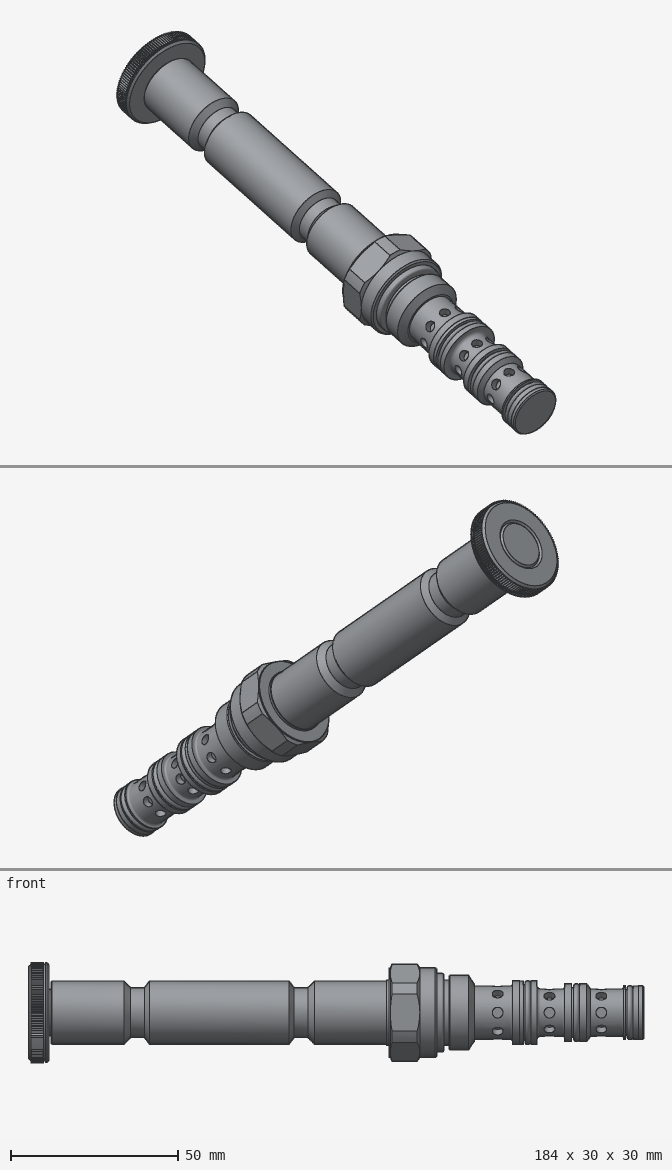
import cadquery as cq
import math


knob_radius = 15.0
knob_root_radius = 14.5
knob_length = 6.1
knob_chamfer = 0.7
knurl_end = 4.4
rim_start = 5.0
rim_chamfer = 0.7
tooth_count = 120
groove_outer_radius = 8.1
groove_inner_radius = 6.9
groove_depth = 0.6

neck_radius = 7.0
tube_start = 6.7
tube_radius = 9.5
tube_chamfer = 0.3
waist_radius = 7.5
waist_wide_cone = 2.0
waist_narrow_cone = 1.5
waist_floor = 4.1
first_waist_start = 28.5
second_waist_start = 77.9
waist_length = waist_wide_cone + waist_floor + waist_narrow_cone

collar_start = 107.1
collar_radius = 9.8
washer_face_start = 107.8
washer_face_radius = 13.4
hex_start = 108.2
hex_end = 117.0
hex_across_flats = 27.0
hex_corner_radius = 14.6
hex_front_chamfer = 0.5
hex_rear_chamfer = 0.8
flange_radius = hex_across_flats / 2
flange_end = 122.1
flange_chamfer = 0.5

shoulder_radius = 11.8
shoulder_end = 124.2
shoulder_round = 0.6
seal_neck_radius = 9.8
pilot_start = 125.8
pilot_radius = 11.2
pilot_chamfer = 0.3
pilot_cone_start = 131.6
pilot_cone_end = 133.3
pilot_cone_radius = 8.6

first_barrel_radius = 8.0
barrel_radius = 7.1
first_land_start = 144.7
first_land_end = 152.0
first_land_radius = 9.6
second_land_start = 160.3
second_land_cone_start = 166.9
second_land_cone_end = 168.1
second_land_radius = 8.7
end_land_start = 178.0
end_land_radius = 8.1
nose_end = 184.0
nose_chamfer = 0.4
front_root_round = 0.6
rear_root_round = 1.2

port_diameter = 3.2
port_depth = 2.5
port_count = 8
first_port_x = 140.3
port_pitch = 15.5
port_barrel_radii = [first_barrel_radius, barrel_radius, barrel_radius]

ring_section = 1.8
gland_depth = 1.2
first_gland = (148.0, 150.2)
second_gland = (162.4, 164.8)
end_gland = (178.5, 180.8)
first_backup = (146.9, first_gland[0])
end_backup = (end_gland[1], 182.5)
backup_recess = 0.1


def revolve_profile(points):
    """Turn a closed (x, radius) outline about the X axis."""
    return cq.Workplane("XY").polyline(points).close().revolve(360, (0, 0, 0), (1, 0, 0))


def cylinder(start, end, radius):
    return cq.Workplane("YZ").workplane(offset=start).circle(radius).extrude(end - start)


def tube_band(start, end, inner_radius, outer_radius):
    return cylinder(start, end, outer_radius).cut(cylinder(start, end, inner_radius))


def make_knurl():
    """Ring of straight V teeth standing on the knob body."""
    half_pitch = math.pi / tooth_count
    outline = []
    for i in range(2 * tooth_count):
        radius = knob_radius if i % 2 == 0 else knob_root_radius
        outline.append((radius * math.cos(i * half_pitch), radius * math.sin(i * half_pitch)))
    knurl = cq.Workplane("YZ").workplane(offset=knob_chamfer).polyline(outline).close()
    return knurl.extrude(knurl_end - knob_chamfer)


def make_knob():
    """Knurled disc with a bevelled face, a plain rear rim and a V groove in its face."""
    body = revolve_profile([
        (0, 0),
        (0, knob_root_radius - knob_chamfer),
        (knob_chamfer, knob_root_radius),
        (rim_start, knob_root_radius),
        (rim_start, knob_radius),
        (knob_length - rim_chamfer, knob_radius),
        (knob_length, knob_radius - rim_chamfer),
        (knob_length, 0),
    ])
    face_groove = revolve_profile([
        (0, groove_inner_radius),
        (groove_depth, (groove_inner_radius + groove_outer_radius) / 2),
        (0, groove_outer_radius),
    ])
    return body.union(make_knurl()).cut(face_groove)


def waist(start, first_cone, last_cone):
    """Outline points of a waist in the tube, between two cones."""
    end = start + waist_length
    return [
        (start, tube_radius),
        (start + first_cone, waist_radius),
        (end - last_cone, waist_radius),
        (end, tube_radius),
    ]


def make_tube():
    """Tube with two waists, ending in a collar and a round washer face ahead of the hexagon."""
    outline = [(knob_length, 0), (knob_length, neck_radius), (tube_start, neck_radius)]
    outline += [(tube_start, tube_radius - tube_chamfer), (tube_start + tube_chamfer, tube_radius)]
    outline += waist(first_waist_start, waist_wide_cone, waist_narrow_cone)
    outline += waist(second_waist_start, waist_narrow_cone, waist_wide_cone)
    outline += [(collar_start, tube_radius), (collar_start, collar_radius)]
    outline += [(washer_face_start, collar_radius)]
    outline += [(washer_face_start, washer_face_radius), (hex_start, washer_face_radius), (hex_start, 0)]
    return revolve_profile(outline)


def make_hex():
    """Hexagon with two flats facing +Y and -Y, its corners turned round and bevelled at both ends."""
    across_corners = hex_across_flats / math.cos(math.pi / 6)
    prism = (
        cq.Workplane("YZ")
        .workplane(offset=hex_start)
        .transformed(rotate=(0, 0, 90))
        .polygon(6, across_corners)
        .extrude(hex_end - hex_start)
    )
    turned_blank = revolve_profile([
        (hex_start, 0),
        (hex_start, flange_radius),
        (hex_start + hex_front_chamfer, hex_corner_radius),
        (hex_end - hex_rear_chamfer, hex_corner_radius),
        (hex_end, flange_radius),
        (hex_end, 0),
    ])
    return prism.intersect(turned_blank)


def make_flange_and_pilot():
    flange = cylinder(hex_end, flange_end, flange_radius).faces(">X").chamfer(flange_chamfer)
    shoulder = cylinder(flange_end, shoulder_end, shoulder_radius).faces(">X").edges().fillet(shoulder_round)
    seal_neck = cylinder(shoulder_end, pilot_start, seal_neck_radius)
    pilot = revolve_profile([
        (pilot_start, 0),
        (pilot_start, pilot_radius - pilot_chamfer),
        (pilot_start + pilot_chamfer, pilot_radius),
        (pilot_cone_start, pilot_radius),
        (pilot_cone_end, pilot_cone_radius),
        (pilot_cone_end, 0),
    ])
    return flange.union(shoulder).union(seal_neck).union(pilot)


def make_root_round(wall, barrel, reach):
    """Concave round from a land wall down to the barrel; a negative reach runs towards -X."""
    rise = abs(reach)
    sag = 1 - math.cos(math.pi / 4)
    return (
        cq.Workplane("XY")
        .moveTo(wall, 0)
        .lineTo(wall, barrel + rise)
        .threePointArc((wall + sag * reach, barrel + sag * rise), (wall + reach, barrel))
        .lineTo(wall + reach, 0)
        .close()
        .revolve(360, (0, 0, 0), (1, 0, 0))
    )


def make_nose():
    """Stepped nose with three sealing lands separated by ported barrels."""
    body = revolve_profile([
        (pilot_cone_end, 0),
        (pilot_cone_end, first_barrel_radius),
        (first_land_start, first_barrel_radius),
        (first_land_start, first_land_radius),
        (first_land_end, first_land_radius),
        (first_land_end, barrel_radius),
        (second_land_start, barrel_radius),
        (second_land_start, second_land_radius),
        (second_land_cone_start, second_land_radius),
        (second_land_cone_end, barrel_radius),
        (end_land_start, barrel_radius),
        (end_land_start, end_land_radius),
        (nose_end - nose_chamfer, end_land_radius),
        (nose_end, end_land_radius - nose_chamfer),
        (nose_end, 0),
    ])
    body = body.union(make_root_round(first_land_start, first_barrel_radius, -front_root_round))
    body = body.union(make_root_round(first_land_end, barrel_radius, rear_root_round))
    body = body.union(make_root_round(second_land_start, barrel_radius, -front_root_round))
    return body.union(make_root_round(end_land_start, barrel_radius, -front_root_round))


def fit_seal(body, gland, land_radius):
    """Cut a gland and seat an O-ring against its far wall, level with the land."""
    start, end = gland
    section_radius = ring_section / 2
    floor_radius = land_radius - gland_depth
    o_ring = (
        cq.Workplane("XY")
        .center(end - section_radius, land_radius - section_radius)
        .circle(section_radius)
        .revolve(360, (0, section_radius - land_radius, 0), (1, section_radius - land_radius, 0))
    )
    return body.cut(tube_band(start, end, floor_radius, land_radius)).union(o_ring)


def fit_backup_ring(body, span, land_radius):
    """Leave a flat backup ring just below the land surface."""
    return body.cut(tube_band(*span, land_radius - backup_recess, land_radius))


def drill_ports(body):
    for row, barrel in enumerate(port_barrel_radii):
        floor_radius = barrel - port_depth
        port = (
            cq.Workplane("XY")
            .workplane(offset=floor_radius)
            .center(first_port_x + row * port_pitch, 0)
            .circle(port_diameter / 2)
            .extrude(barrel)
        )
        for i in range(port_count):
            body = body.cut(port.rotate((0, 0, 0), (1, 0, 0), i * 360 / port_count))
    return body


nose = drill_ports(make_nose())
nose = fit_backup_ring(nose, first_backup, first_land_radius)
nose = fit_seal(nose, first_gland, first_land_radius)
nose = fit_seal(nose, second_gland, second_land_radius)
nose = fit_seal(nose, end_gland, end_land_radius)
nose = fit_backup_ring(nose, end_backup, end_land_radius)

result = make_knob().union(make_tube()).union(make_hex()).union(make_flange_and_pilot()).union(nose)